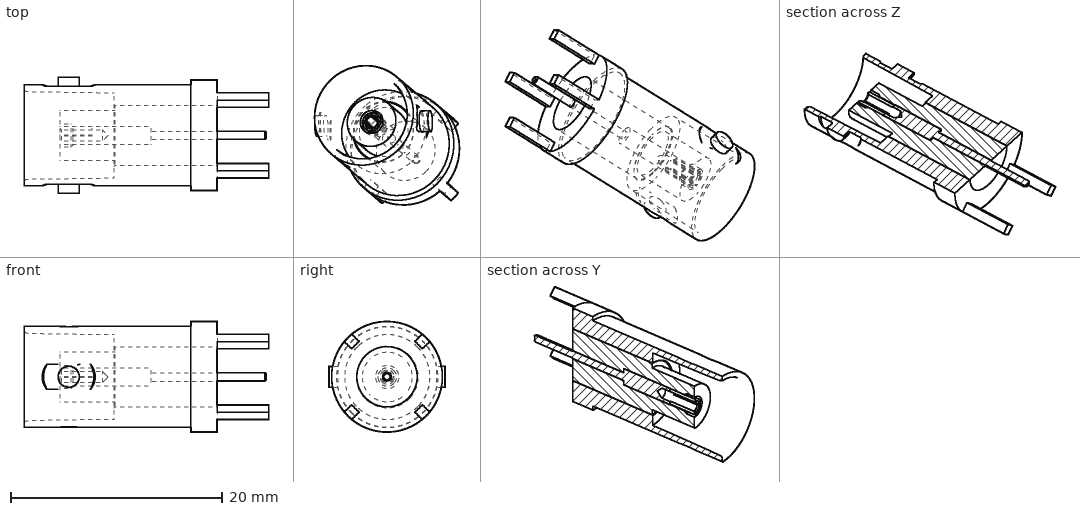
import cadquery as cq
import math


shell_radius = 4.8
flange_radius = 5.25
flange_start = 15.8
flange_length = 2.5
flange_end = flange_start + flange_length
lip_round = 0.3
bore_front_radius = 4.15
bore_floor_radius = 4.03
bore_depth = 8.5

lug_x = 4.23
waist_half_length = 1.05
waist_depth = 0.04

lug_radius = 1.0
lug_span = 11.0
flat_offset = 4.65
flat_width = 2.4
flat_bottom_radius = 2.38
flat_top_radius = 2.51

leg_end = 23.2
leg_width = 1.0
leg_count = 4

insulator_nose_x = 3.4
insulator_nose_radius = 2.36
insulator_base_radius = 2.86
seat_chamfer = 0.07
base_front = bore_depth + seat_chamfer
clearance_radius = 1.1
clearance_depth = 1.0

contact_radius = 0.87
contact_front = insulator_nose_x
contact_body_end = 12.0
socket_radius = 0.53
socket_mouth_radius = 0.67
socket_depth = 4.0
slot_width = 0.08
slot_length = 3.0
tail_radius = 0.4
tail_end = 22.95
tail_chamfer_length = 0.15
tail_chamfer_width = 0.1


def revolve_about_x(profile):
    """Revolve a profile, drawn as (x, radius), a full turn about the X axis."""
    return profile.close().revolve(360, (0, 0, 0), (1, 0, 0))


def shell_blank():
    """Turned shell with waist, rear flange, tapered bore and insulator seat."""
    waist_start = lug_x - waist_half_length
    waist_end = lug_x + waist_half_length
    seat_mouth_radius = insulator_base_radius + seat_chamfer
    round_middle = lip_round * (1 - math.sqrt(0.5))
    profile = (
        cq.Workplane("XY")
        .moveTo(0, bore_front_radius + lip_round)
        .lineTo(0, shell_radius)
        .lineTo(waist_start, shell_radius)
        .threePointArc((lug_x, shell_radius - waist_depth), (waist_end, shell_radius))
        .lineTo(flange_start, shell_radius)
        .lineTo(flange_start, flange_radius)
        .lineTo(flange_end, flange_radius)
        .lineTo(flange_end, insulator_base_radius)
        .lineTo(base_front, insulator_base_radius)
        .lineTo(bore_depth, seat_mouth_radius)
        .lineTo(bore_depth, bore_floor_radius)
        .lineTo(lip_round, bore_front_radius)
        .threePointArc(
            (round_middle, bore_front_radius + round_middle),
            (0, bore_front_radius + lip_round),
        )
    )
    return revolve_about_x(profile)


def lug_flat_cutter(side):
    """Tapered disc, trimmed to the flat's width, that cuts the flat on one side (+1 or -1) in Y."""
    cut_height = flange_radius - flat_offset
    taper = (flat_top_radius - flat_bottom_radius) / (shell_radius - flat_offset)
    outer_radius = flat_bottom_radius + taper * cut_height
    cone = cq.Workplane(
        cq.Solid.makeCone(
            flat_bottom_radius,
            outer_radius,
            cut_height,
            cq.Vector(lug_x, side * flat_offset, 0),
            cq.Vector(0, side, 0),
        )
    )
    band = (
        cq.Workplane("XY")
        .box(2 * outer_radius, 2 * cut_height, flat_width)
        .translate((lug_x, side * (flat_offset + cut_height / 2), 0))
    )
    return cone.intersect(band)


def lug(side):
    """Round bayonet lug on one side, rooted in the shell wall."""
    root = (bore_front_radius + shell_radius) / 2
    return cq.Workplane(
        cq.Solid.makeCylinder(
            lug_radius,
            lug_span / 2 - root,
            cq.Vector(lug_x, side * root, 0),
            cq.Vector(0, side, 0),
        )
    )


def board_legs():
    """Legs on the flange's diagonals, with outer faces that continue the flange's rim."""
    leg_length = leg_end - flange_start
    rim = cq.Workplane("YZ").workplane(offset=flange_start).circle(flange_radius).extrude(leg_length)
    bars = cq.Workplane("XY")
    for index in range(leg_count):
        angle = 360 / leg_count * (index + 0.5)
        bar = (
            cq.Workplane("XY")
            .box(leg_length, 2 * leg_width, leg_width)
            .translate((flange_start + leg_length / 2, flange_radius, 0))
            .rotate((0, 0, 0), (1, 0, 0), angle)
        )
        bars = bars.add(bar)
    return bars.combine().intersect(rim)


def make_housing():
    """Shell with its flats, lugs and legs."""
    housing = shell_blank()
    for side in (-1, 1):
        housing = housing.cut(lug_flat_cutter(side)).union(lug(side))
    return housing.union(board_legs())


def make_insulator():
    """Stepped insulator whose bore fits the contact, with a clearance and a conical step at its mouth."""
    clearance_end = insulator_nose_x + clearance_depth
    seat_start = clearance_end + clearance_radius - contact_radius
    profile = (
        cq.Workplane("XY")
        .moveTo(insulator_nose_x, clearance_radius)
        .lineTo(insulator_nose_x, insulator_nose_radius)
        .lineTo(base_front, insulator_nose_radius)
        .lineTo(base_front, insulator_base_radius)
        .lineTo(flange_end, insulator_base_radius)
        .lineTo(flange_end, tail_radius)
        .lineTo(contact_body_end, tail_radius)
        .lineTo(contact_body_end, contact_radius)
        .lineTo(seat_start, contact_radius)
        .lineTo(clearance_end, clearance_radius)
    )
    return revolve_about_x(profile)


def make_contact():
    """Slotted socket contact with a drilled front and a thin solder tail."""
    mouth_length = socket_mouth_radius - socket_radius
    socket_bottom = contact_front + socket_depth
    profile = (
        cq.Workplane("XY")
        .moveTo(contact_front, socket_mouth_radius)
        .lineTo(contact_front, contact_radius)
        .lineTo(contact_body_end, contact_radius)
        .lineTo(contact_body_end, tail_radius)
        .lineTo(tail_end - tail_chamfer_length, tail_radius)
        .lineTo(tail_end, tail_radius - tail_chamfer_width)
        .lineTo(tail_end, 0)
        .lineTo(socket_bottom + socket_radius, 0)
        .lineTo(socket_bottom, socket_radius)
        .lineTo(contact_front + mouth_length, socket_radius)
    )
    contact = revolve_about_x(profile)
    slot_middle = contact_front + slot_length / 2
    for angle in (0, 90):
        slot = (
            cq.Workplane("XY")
            .box(slot_length, 2 * contact_radius, slot_width)
            .translate((slot_middle, 0, 0))
            .rotate((0, 0, 0), (1, 0, 0), angle)
        )
        contact = contact.cut(slot)
    return contact


housing = make_housing()
insulator = make_insulator()
contact = make_contact()

result = cq.Compound.makeCompound([body.solids().val() for body in (housing, insulator, contact)])